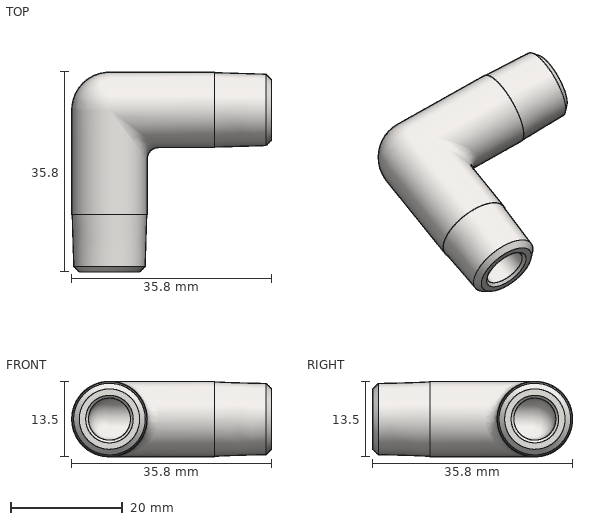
import cadquery as cq

overall_length = 35.75
body_diameter = 13.5
bore_diameter = 7.5
taper_length = 10.25
taper_start_diameter = 13.37
tip_diameter = 12.8
tip_chamfer = 1.0
bore_chamfer = 0.5
inner_corner_radius = 2.0

body_radius = body_diameter / 2
bore_radius = bore_diameter / 2
taper_start_radius = taper_start_diameter / 2
tip_radius = tip_diameter / 2
leg_length = overall_length - body_radius
taper_start = leg_length - taper_length

X_DIRECTION = (1, 0, 0)


def turned_about_x(profile):
    return profile.close().revolve(360, (0, 0, 0), X_DIRECTION)


def both_legs(leg):
    """Join a leg along +X with its copy turned onto -Y."""
    return leg.union(leg.rotate((0, 0, 0), (0, 0, 1), -90))


def elbow_body():
    """Straight cylinders meeting in a ball, with a rounded inner corner."""
    leg = cq.Workplane("YZ").circle(body_radius).extrude(taper_start)
    body = both_legs(leg).union(cq.Workplane("XY").sphere(body_radius))
    inner_corner = cq.selectors.BoxSelector(
        (0, -body_radius, -body_radius),
        (body_radius, 0, body_radius),
    )
    return body.edges(inner_corner).fillet(inner_corner_radius)


def tapered_end():
    """Solid tapered end of the +X leg, stepped in slightly from the body, with a chamfered tip."""
    return turned_about_x(
        cq.Workplane("XY")
        .moveTo(taper_start, 0)
        .lineTo(taper_start, taper_start_radius)
        .lineTo(leg_length - tip_chamfer, tip_radius)
        .lineTo(leg_length, tip_radius - tip_chamfer)
        .lineTo(leg_length, 0)
    )


def bore():
    """Bore of the +X leg, opening into a chamfered mouth."""
    return turned_about_x(
        cq.Workplane("XY")
        .lineTo(0, bore_radius)
        .lineTo(leg_length - bore_chamfer, bore_radius)
        .lineTo(leg_length, bore_radius + bore_chamfer)
        .lineTo(leg_length, 0)
    )


passage = both_legs(bore()).union(cq.Workplane("XY").sphere(bore_radius))

result = elbow_body().union(both_legs(tapered_end())).cut(passage)